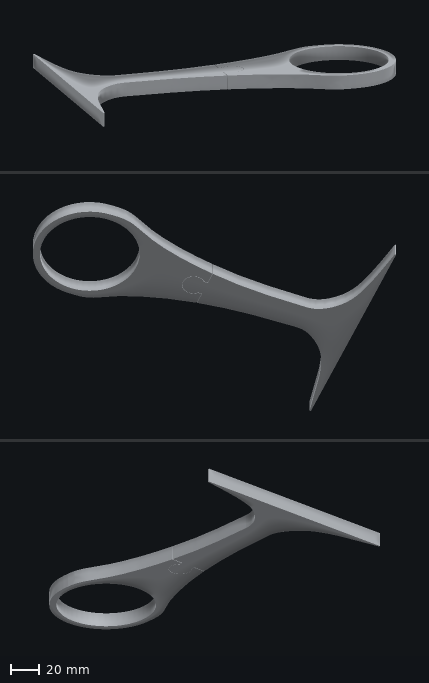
import cadquery as cq

thickness = 10.0
total_length = 240.0
foot_half_width = 80.05
foot_edge_height = 1.0
foot_tip_slope = 0.15

ring_radius = 40.0
hole_radius = 35.0
ring_center_y = total_length - ring_radius
straight_side_length = 5.0
shoulder_y = ring_center_y - straight_side_length

waist_half_width = 10.0
waist_y = 40.0

joint_y = 112.8
joint_gap = 0.5
knob_radius = 8.0
knob_clearance = 0.2
knob_rise = 8.5
knob_center_y = joint_y + knob_rise
neck_half_width = 5.5

foot_curve_points = [(62.6, 3.8), (36.7, 9.8), (24.5, 15.8), (13.7, 27.4)]
stem_curve_points = [(15.0, joint_y), (21.5, 143.5), (32.6, 172.3)]


def mirrored(points):
    """Reflect points across the Y axis and reverse their order."""
    return [(-x, y) for x, y in reversed(points)]


def whole_outline():
    """Solid with the outer shape of foot, stem and ring together."""
    waist = (waist_half_width, waist_y)
    foot_tip = (foot_half_width, foot_edge_height)
    shoulder = (ring_radius, shoulder_y)
    up = (0, 1)
    down = (0, -1)
    foot_rise = (-1, foot_tip_slope)
    foot_fall = (-1, -foot_tip_slope)
    return (
        cq.Workplane("XY")
        .moveTo(-foot_half_width, 0)
        .lineTo(foot_half_width, 0)
        .lineTo(*foot_tip)
        .spline(foot_curve_points + [waist], tangents=[foot_rise, up], includeCurrent=True)
        .spline(stem_curve_points + [shoulder], tangents=[up, up], includeCurrent=True)
        .lineTo(ring_radius, ring_center_y)
        .threePointArc((0, total_length), (-ring_radius, ring_center_y))
        .lineTo(-ring_radius, shoulder_y)
        .spline(
            mirrored([waist] + stem_curve_points),
            tangents=[down, down],
            includeCurrent=True,
        )
        .spline(
            mirrored([foot_tip] + foot_curve_points),
            tangents=[down, foot_fall],
            includeCurrent=True,
        )
        .close()
        .extrude(thickness)
    )


def lengthwise_block(y_start, y_end, half_width):
    """Full-thickness block centred on the Y axis."""
    return (
        cq.Workplane("XY")
        .moveTo(-half_width, y_start)
        .lineTo(half_width, y_start)
        .lineTo(half_width, y_end)
        .lineTo(-half_width, y_end)
        .close()
        .extrude(thickness)
    )


def knob_shape(clearance):
    """Round knob on a straight neck, enlarged all round by the clearance."""
    neck = lengthwise_block(joint_y - joint_gap, knob_center_y, neck_half_width + clearance)
    head = (
        cq.Workplane("XY")
        .center(0, knob_center_y)
        .circle(knob_radius + clearance)
        .extrude(thickness)
    )
    return neck.union(head)


def make_foot():
    """Flared foot and lower stem, ending in the knob."""
    lower_half = lengthwise_block(0, joint_y - joint_gap / 2, foot_half_width)
    return whole_outline().intersect(lower_half).union(knob_shape(0))


def make_ring_holder():
    """Ring and upper stem, with the socket for the knob."""
    upper_half = lengthwise_block(joint_y + joint_gap / 2, total_length, foot_half_width)
    hole = cq.Workplane("XY").center(0, ring_center_y).circle(hole_radius).extrude(thickness)
    socket = knob_shape(knob_clearance)
    return whole_outline().intersect(upper_half).cut(hole).cut(socket)


foot = make_foot()
ring_holder = make_ring_holder()
result = cq.Compound.makeCompound([foot.val(), ring_holder.val()])